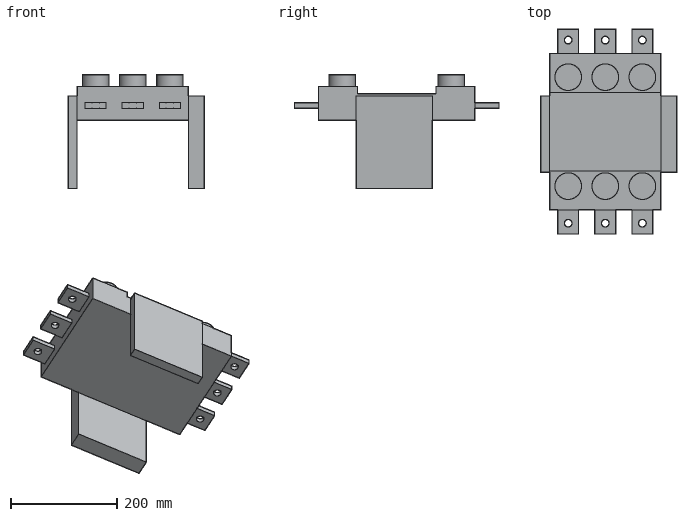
import cadquery as cq

body_width = 210.0
body_length = 295.0
body_height = 64.0
body_bottom = 128.5
body_top = body_bottom + body_height

channel_length = 148.0
channel_depth = 13.5

plate_length = 144.0
plate_height = 175.0
plate_center_y = -4.5
left_plate_thickness = 17.0
right_plate_thickness = 30.0

pole_pitch = 70.0
boss_diameter = 50
boss_height = 22.5
boss_offset_y = 102.5
tab_width = 39.8
tab_thickness = 11.0
tab_bottom = body_bottom + 22.8
overall_length = 386
tab_length = (overall_length - body_length) / 2
hole_diameter = 14.0
hole_edge_distance = 20.5
hole_offset_y = overall_length / 2 - hole_edge_distance


def block(size, center_x, center_y, bottom):
    """Box centred in X and Y, resting on the given height."""
    return (
        cq.Workplane("XY")
        .box(*size, centered=(True, True, False))
        .translate((center_x, center_y, bottom))
    )


def cylinder(diameter, height, center_x, center_y, bottom):
    """Upright cylinder resting on the given height."""
    return (
        cq.Workplane("XY")
        .circle(diameter / 2)
        .extrude(height)
        .translate((center_x, center_y, bottom))
    )


def make_body():
    body = block((body_width, body_length, body_height), 0, 0, body_bottom)
    channel = block((body_width, channel_length, channel_depth), 0, 0, body_top - channel_depth)
    return body.cut(channel)


def make_plate(thickness, side):
    """Plate against one side of the body; side is -1 for left, 1 for right."""
    center_x = side * (body_width + thickness) / 2
    return block((thickness, plate_length, plate_height), center_x, plate_center_y, 0)


def make_tab(center_x, end):
    """Drilled terminal tab; end is -1 for the -Y end, 1 for the +Y end."""
    center_y = end * (body_length + tab_length) / 2
    tab = block((tab_width, tab_length, tab_thickness), center_x, center_y, tab_bottom)
    hole = cylinder(hole_diameter, tab_thickness, center_x, end * hole_offset_y, tab_bottom)
    return tab.cut(hole)


result = make_body()
result = result.union(make_plate(left_plate_thickness, -1))
result = result.union(make_plate(right_plate_thickness, 1))
for pole in (-1, 0, 1):
    pole_x = pole * pole_pitch
    for end in (-1, 1):
        boss = cylinder(boss_diameter, boss_height, pole_x, end * boss_offset_y, body_top)
        result = result.union(boss).union(make_tab(pole_x, end))